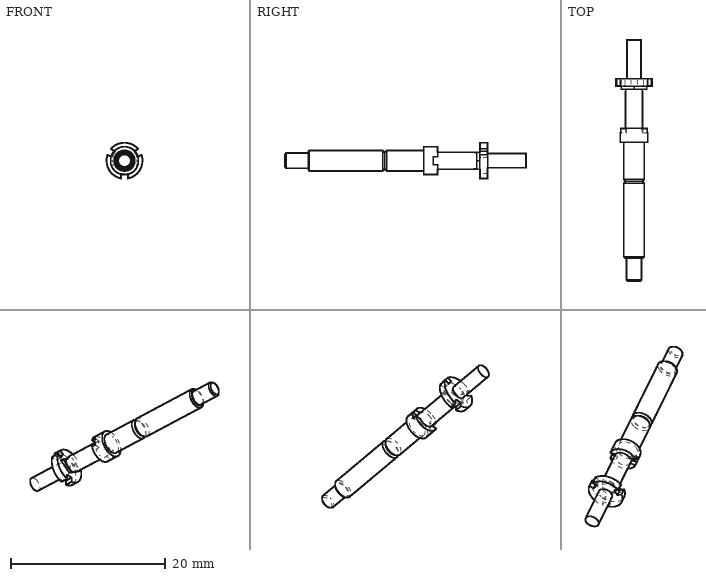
import cadquery as cq

SHOULDER_Y = 3.0
GROOVE_Y = 12.95
COLLAR_FRONT_Y = 18.0
COLLAR_REAR_Y = 19.8
ROD_REAR_Y = 24.4
PLATE_FRONT_Y = 24.88
DISC_FRONT_Y = 25.3
DISC_REAR_Y = 26.3
TAIL_END_Y = 31.3

PLUNGER_RADIUS = 1.0
BARREL_RADIUS = 1.35
COLLAR_RADIUS = 1.8
ROD_RADIUS = 1.13
NECK_RADIUS = 1.05
DISC_RADIUS = 2.35
TAIL_RADIUS = 0.95

TIP_CHAMFER = 0.2
BARREL_CHAMFER = 0.2
GROOVE_DEPTH = 0.25
GROOVE_WIDTH = 0.55

PLATE_WIDTH = 3.35
PLATE_HEIGHT = 2.22

DISC_SLOT_COUNT = 3
DISC_SLOT_WIDTH = 0.85
DISC_SLOT_FLOOR = 1.65
COLLAR_SLOT_WIDTH = 1.03
COLLAR_SLOT_DEPTH = 0.55


def cylinder(radius, y_start, y_end):
    """Solid cylinder on the Y axis."""
    axis = cq.Vector(0, 1, 0)
    return cq.Workplane(cq.Solid.makeCylinder(radius, y_end - y_start, cq.Vector(0, y_start, 0), axis))


def make_turned_body():
    """Plunger, grooved barrel, collar, rod and neck, revolved about Y."""
    return (
        cq.Workplane("XY")
        .lineTo(PLUNGER_RADIUS - TIP_CHAMFER, 0)
        .lineTo(PLUNGER_RADIUS, TIP_CHAMFER)
        .lineTo(PLUNGER_RADIUS, SHOULDER_Y)
        .lineTo(BARREL_RADIUS - BARREL_CHAMFER, SHOULDER_Y)
        .lineTo(BARREL_RADIUS, SHOULDER_Y + BARREL_CHAMFER)
        .lineTo(BARREL_RADIUS, GROOVE_Y - GROOVE_WIDTH / 2)
        .lineTo(BARREL_RADIUS - GROOVE_DEPTH, GROOVE_Y)
        .lineTo(BARREL_RADIUS, GROOVE_Y + GROOVE_WIDTH / 2)
        .lineTo(BARREL_RADIUS, COLLAR_FRONT_Y)
        .lineTo(COLLAR_RADIUS, COLLAR_FRONT_Y)
        .lineTo(COLLAR_RADIUS, COLLAR_REAR_Y)
        .lineTo(ROD_RADIUS, COLLAR_REAR_Y)
        .lineTo(ROD_RADIUS, ROD_REAR_Y)
        .lineTo(NECK_RADIUS, PLATE_FRONT_Y)
        .lineTo(0, PLATE_FRONT_Y)
        .close()
        .revolve(360, (0, 0, 0), (0, 1, 0))
    )


def make_collar_slot():
    """Straight slot across X at the rear of the collar, stopping at the rod surface."""
    bar = cq.Workplane("XY").box(
        2 * COLLAR_RADIUS, COLLAR_SLOT_DEPTH, COLLAR_SLOT_WIDTH
    ).translate((0, COLLAR_REAR_Y - COLLAR_SLOT_DEPTH / 2, 0))
    return bar.cut(cylinder(ROD_RADIUS, COLLAR_FRONT_Y, COLLAR_REAR_Y))


def make_plate():
    """Rhombic plate with its long diagonal along X, reaching back to the disc."""
    return (
        cq.Workplane("XZ", origin=(0, DISC_FRONT_Y, 0))
        .polyline([
            (-PLATE_WIDTH / 2, 0),
            (0, PLATE_HEIGHT / 2),
            (PLATE_WIDTH / 2, 0),
            (0, -PLATE_HEIGHT / 2),
        ])
        .close()
        .extrude(DISC_FRONT_Y - PLATE_FRONT_Y)
    )


def make_disc():
    """Disc with evenly spaced rim slots, the first one pointing down (-Z)."""
    disc = cylinder(DISC_RADIUS, DISC_FRONT_Y, DISC_REAR_Y)
    slot_length = DISC_RADIUS - DISC_SLOT_FLOOR
    slot = cq.Workplane("XY").box(
        DISC_SLOT_WIDTH, DISC_REAR_Y - DISC_FRONT_Y, slot_length
    ).translate((0, (DISC_FRONT_Y + DISC_REAR_Y) / 2, -DISC_SLOT_FLOOR - slot_length / 2))
    for index in range(DISC_SLOT_COUNT):
        angle = index * 360 / DISC_SLOT_COUNT
        disc = disc.cut(slot.rotate((0, 0, 0), (0, 1, 0), angle))
    return disc


body = make_turned_body().cut(make_collar_slot())
tail = cylinder(TAIL_RADIUS, DISC_REAR_Y, TAIL_END_Y)
result = body.union(make_plate()).union(make_disc()).union(tail)